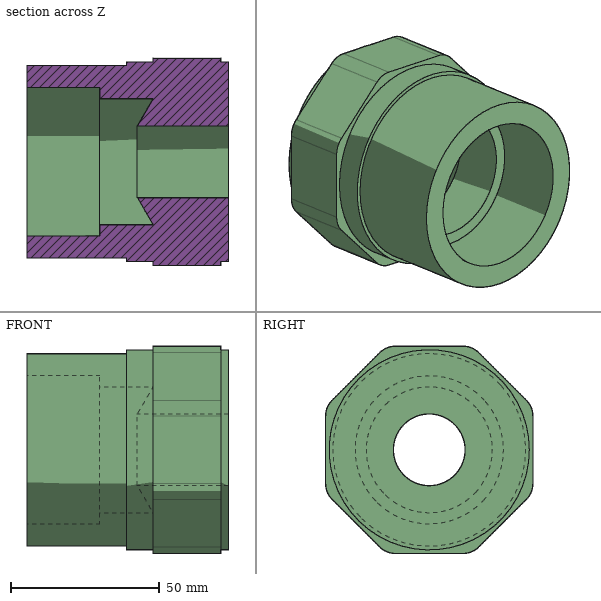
import cadquery as cq
import math

barrel_diameter = 65.0
collar_diameter = 67.5
socket_diameter = 50.0
chamber_diameter = 42.5
bore_diameter = 24.12

grip_sides = 8
across_flats = 70.0
corner_radius = 7.5

nose_angle = 30.0
nose_height = (chamber_diameter - bore_diameter) / 2 * math.tan(math.radians(nose_angle))

barrel_end = 33.5
grip_start = 42.5
grip_end = 65.4
total_length = 68.0
socket_depth = 24.5
chamber_depth = grip_start
nose_tip = chamber_depth - nose_height


def x_cylinder(diameter, start, end):
    """Solid cylinder about the X axis between two stations."""
    return cq.Workplane("YZ", origin=(start, 0, 0)).circle(diameter / 2).extrude(end - start)


def octagonal_grip():
    """Octagonal prism with flats facing Y and Z and rounded corners."""
    half_side_angle = 180 / grip_sides
    across_corners = across_flats / math.cos(math.radians(half_side_angle))
    prism = (
        cq.Workplane("YZ", origin=(grip_start, 0, 0))
        .polygon(grip_sides, across_corners)
        .extrude(grip_end - grip_start)
        .rotate((0, 0, 0), (1, 0, 0), half_side_angle)
    )
    return prism.edges("|X").fillet(corner_radius)


def stepped_passage():
    """Void of the socket, the chamber around the conical nose, and the through bore."""
    socket_radius = socket_diameter / 2
    chamber_radius = chamber_diameter / 2
    bore_radius = bore_diameter / 2
    half_profile = [
        (0, 0),
        (0, socket_radius),
        (socket_depth, socket_radius),
        (socket_depth, chamber_radius),
        (chamber_depth, chamber_radius),
        (nose_tip, bore_radius),
        (total_length, bore_radius),
        (total_length, 0),
    ]
    return cq.Workplane("XY").polyline(half_profile).close().revolve(360, (0, 0, 0), (1, 0, 0))


barrel = x_cylinder(barrel_diameter, 0, barrel_end)
collar = x_cylinder(collar_diameter, barrel_end, total_length)
result = barrel.union(collar).union(octagonal_grip()).cut(stepped_passage())